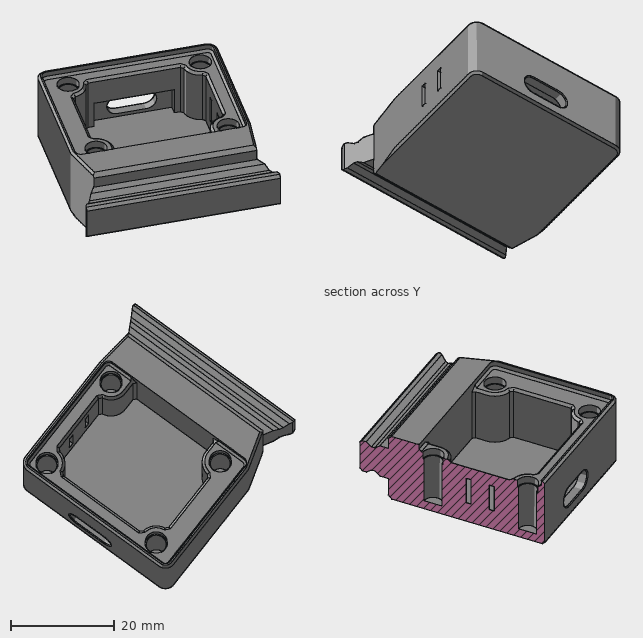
import cadquery as cq

total_length = 40.15
center_y = 0.8

body_length = 34.0
body_width = 35.97
body_height = 15.0
corner_radius = 2.0
edge_chamfer = 0.5
end_chamfer = 0.8
taper_start = 25.98
taper_end_half_width = 16.3

rim_width = 0.8
recess_length = 26.4
recess_depth = 1.53
recess_chamfer = 0.5

hole_min_x = 3.75
hole_pitch_x = 20.5
hole_pitch_y = 26.5
boss_radius = 3.5
hole_diameter = 3.8
counterbore_diameter = 4.3
counterbore_depth = 1.53

floor_thickness = 2.0
cavity_chamfer = 0.52
match_tolerance = 0.05

port_width = 10.0
port_height = 4.2
port_z = 4.85
port_chamfer = 0.2
port_wall = 1.95
pocket_width = 16.05

vent_width = 1.0
vent_bottom_z = 4.5
vent_height = 5.75
vent_centers_x = (11.52, 16.55)

rail_width = 38.83
rail_height = 7.3
rail_z = 8.3
rail_root_half_width = 16.45
rail_flare_end = 39.3
rail_embed = 1.2
rail_tip_chamfer = 0.55
groove_x = 37.2
groove_half_top = 1.5
groove_half_bottom = 0.35
groove_depth = 0.85

ledge_z = body_height - recess_depth
hole_max_x = hole_min_x + hole_pitch_x
recess_end_x = rim_width + recess_length
hole_center = (hole_min_x + hole_pitch_x / 2, center_y)


def box(x_range, y_range, z_range):
    """Box between two limits on each axis."""
    size = [high - low for low, high in (x_range, y_range, z_range)]
    corner = (x_range[0], y_range[0], z_range[0])
    return cq.Workplane("XY").box(*size, centered=False).translate(corner)


def make_body():
    half_width = body_width / 2
    body = box((0, body_length), (-half_width, half_width), (0, body_height))
    body = body.edges("|Z and <X").fillet(corner_radius)

    body = body.faces("<Z").edges("not >X").chamfer(edge_chamfer)
    for side in (-1, 1):
        wedge = (
            cq.Workplane("XY")
            .moveTo(taper_start, side * half_width)
            .lineTo(body_length, side * half_width)
            .lineTo(body_length, center_y + side * taper_end_half_width)
            .close()
            .extrude(body_height)
        )
        body = body.cut(wedge)

    body = body.faces(">X").edges("|Y").chamfer(end_chamfer)
    return body.faces(">Z").edges("not >X").chamfer(edge_chamfer)


def make_recess():
    half_width = body_width / 2 - rim_width
    recess = box((rim_width, recess_end_x), (-half_width, half_width), (ledge_z, body_height))
    recess = recess.edges("|Z").fillet(corner_radius - rim_width)
    return recess.faces("<Z").chamfer(recess_chamfer)


def make_cavity():
    half_pitch = hole_pitch_y / 2
    cavity = box(
        (hole_min_x, recess_end_x),
        (center_y - half_pitch, center_y + half_pitch),
        (floor_thickness, ledge_z - cavity_chamfer),
    )
    for hole_y in (center_y - half_pitch, center_y + half_pitch):
        for hole_x in (hole_min_x, hole_max_x):
            boss = cq.Workplane("XY").center(hole_x, hole_y).circle(boss_radius).extrude(body_height)
            cavity = cavity.cut(boss)
        boss_side = (hole_y - boss_radius, hole_y + boss_radius)
        cavity = cavity.cut(box((hole_max_x, recess_end_x), boss_side, (0, body_height)))

    corners = cavity.edges("|Z").filter(lambda edge: abs(edge.Center().x - hole_max_x) > match_tolerance)
    cavity = corners.chamfer(cavity_chamfer)

    flare = cavity.faces(">Z").wires().toPending().extrude(2 * cavity_chamfer, taper=-45, combine=False)
    flare = flare.intersect(
        box((0, recess_end_x), (-body_width, body_width), (0, ledge_z + cavity_chamfer))
    )
    return cavity.union(flare)


def make_screw_holes():
    def cylinders(diameter, bottom_z):
        return (
            cq.Workplane("XY", origin=(*hole_center, bottom_z))
            .rarray(hole_pitch_x, hole_pitch_y, 2, 2)
            .circle(diameter / 2)
            .extrude(body_height - bottom_z)
        )

    counterbores = cylinders(counterbore_diameter, ledge_z - counterbore_depth)
    return cylinders(hole_diameter, floor_thickness).union(counterbores)


def make_port():
    port = (
        cq.Workplane("YZ", origin=(0, center_y, port_z))
        .slot2D(port_width, port_height)
        .extrude(hole_min_x)
    )
    mouth = (
        cq.Workplane("YZ", origin=(0, center_y, port_z))
        .slot2D(port_width + 2 * port_chamfer, port_height + 2 * port_chamfer)
        .extrude(port_chamfer, taper=45)
    )
    pocket = box(
        (port_wall, hole_min_x),
        (center_y - pocket_width / 2, center_y + pocket_width / 2),
        (floor_thickness, 2 * port_z - floor_thickness),
    )
    return port.union(mouth).union(pocket)


def make_vents():
    vents = cq.Workplane("XY")
    for vent_x in vent_centers_x:
        vent = box(
            (vent_x - vent_width / 2, vent_x + vent_width / 2),
            (center_y, body_width / 2),
            (vent_bottom_z, vent_bottom_z + vent_height),
        )
        vents = vents.add(vent)
    return vents.combine()


def make_rail():
    root_x = body_length - rail_embed
    slope = (rail_width / 2 - rail_root_half_width) / (rail_flare_end - body_length)
    root_half_width = rail_root_half_width - slope * rail_embed

    plan = (
        cq.Workplane("XY", origin=(0, center_y, rail_z))
        .moveTo(root_x, -root_half_width)
        .lineTo(rail_flare_end, -rail_width / 2)
        .lineTo(total_length, -rail_width / 2)
        .lineTo(total_length, rail_width / 2)
        .lineTo(rail_flare_end, rail_width / 2)
        .lineTo(root_x, root_half_width)
        .close()
        .extrude(rail_height / 2, both=True)
    )
    rail = plan.faces(">X").edges("|Y").chamfer(rail_tip_chamfer)

    groove = (
        cq.Workplane("XZ", origin=(groove_x, center_y, rail_z))
        .moveTo(-groove_half_top, rail_height / 2)
        .lineTo(-groove_half_bottom, rail_height / 2 - groove_depth)
        .lineTo(groove_half_bottom, rail_height / 2 - groove_depth)
        .lineTo(groove_half_top, rail_height / 2)
        .close()
        .extrude(rail_width / 2, both=True)
    )
    lower_groove = groove.mirror("XY", (0, 0, rail_z))
    return rail.cut(groove).cut(lower_groove)


result = make_body().union(make_rail())
for cutter in (make_recess(), make_cavity(), make_screw_holes(), make_port(), make_vents()):
    result = result.cut(cutter)